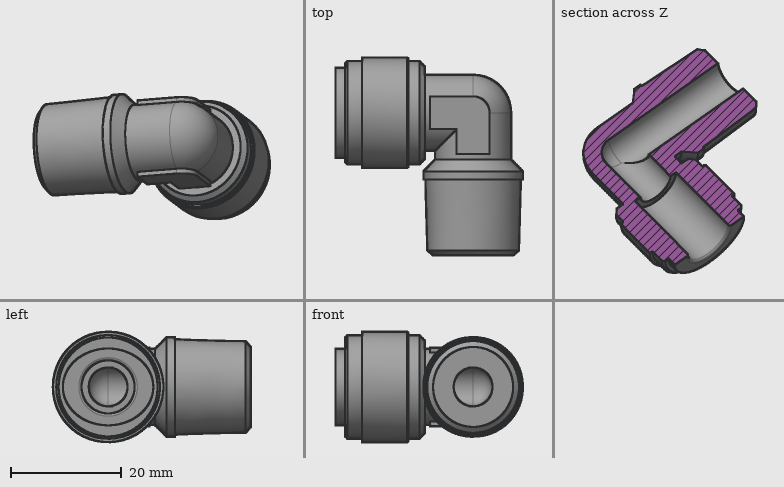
import cadquery as cq

overall_x = 33.9
overall_y = 35.8
overall_z = 20.0

elbow_radius = 6.9
bore_radius = 3.5

port_end = 24.88
sleeve_end = 23.13
sleeve_radius = 9.38
sleeve_end_chamfer = 0.43
sleeve_shoulder = 8.75
sleeve_shoulder_chamfer = 1.0
grip_outer = 20.05
grip_inner = 11.7
grip_radius = overall_z / 2
grip_chamfer = 0.2
collar_width = 16.35
collar_height = 13.9
socket_radius = 4.8
socket_floor = 9.7
socket_rim_radius = 0.5

stem_end = overall_y - grip_radius
cone_start = 8.45
flange_start = 10.6
flange_end = 12.05
flange_radius = overall_x - port_end
thread_large_radius = 8.65
thread_small_radius = 8.3
stem_chamfer_length = 0.93
stem_chamfer_depth = 1.07

pad_height = 7.12
pad_half_width = 2.97
pad_port_reach = 7.77
pad_stem_reach = 7.45


def rod_x(radius, far, near):
    """Cylinder on the port axis from x = -far to x = -near."""
    return cq.Workplane("YZ").workplane(offset=-far).circle(radius).extrude(far - near)


def rod_y(radius, far):
    """Cylinder on the stem axis from the origin to y = -far."""
    return cq.Workplane("XZ").circle(radius).extrude(far)


def make_elbow(radius, port_reach, stem_reach):
    """Two round legs joined by a spherical corner."""
    corner = cq.Workplane("XY").sphere(radius)
    return corner.union(rod_x(radius, port_reach, 0)).union(rod_y(radius, stem_reach))


def make_port():
    sleeve = rod_x(sleeve_radius, sleeve_end, sleeve_shoulder)
    sleeve = sleeve.faces("<X").chamfer(sleeve_end_chamfer)
    sleeve = sleeve.faces(">X").chamfer(sleeve_shoulder_chamfer)
    grip = rod_x(grip_radius, grip_outer, grip_inner).faces(">X").chamfer(grip_chamfer)
    collar = (
        cq.Workplane("YZ")
        .workplane(offset=-port_end)
        .ellipse(collar_width / 2, collar_height / 2)
        .extrude(port_end - grip_outer)
    )
    return sleeve.union(grip).union(collar)


def make_stem():
    profile = [
        (0, -cone_start),
        (elbow_radius, -cone_start),
        (flange_radius, -flange_start),
        (flange_radius, -flange_end),
        (thread_large_radius, -flange_end),
        (thread_small_radius, stem_chamfer_length - stem_end),
        (thread_small_radius - stem_chamfer_depth, -stem_end),
        (0, -stem_end),
    ]
    return cq.Workplane("XY").polyline(profile).close().revolve(360, (0, 0), (0, 1))


def make_pads():
    """One L-shaped plate through the elbow, showing as a pad on each side."""
    w = pad_half_width
    return (
        cq.Workplane("XY")
        .workplane(offset=-pad_height)
        .moveTo(-pad_port_reach, w)
        .lineTo(0, w)
        .radiusArc((w, 0), w)
        .lineTo(w, -pad_stem_reach)
        .lineTo(-w, -pad_stem_reach)
        .lineTo(-w, -w)
        .lineTo(-pad_port_reach, -w)
        .close()
        .extrude(2 * pad_height)
    )


def make_socket():
    """Tube socket with a rounded mouth, revolved about the port axis."""
    return (
        cq.Workplane("XY")
        .moveTo(-socket_floor, 0)
        .lineTo(-socket_floor, socket_radius)
        .lineTo(socket_rim_radius - port_end, socket_radius)
        .tangentArcPoint((-port_end, socket_radius + socket_rim_radius), relative=False)
        .lineTo(-port_end, 0)
        .close()
        .revolve(360, (0, 0), (1, 0))
    )


body = make_elbow(elbow_radius, sleeve_shoulder, cone_start)
body = body.union(make_port()).union(make_stem()).union(make_pads())
body = body.cut(make_elbow(bore_radius, port_end, stem_end))
result = body.cut(make_socket())